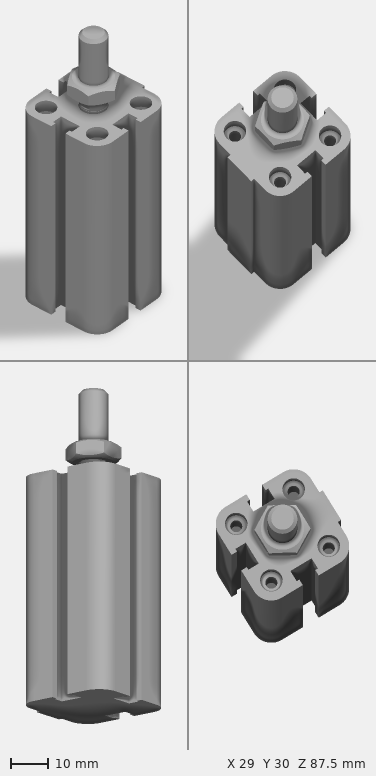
import cadquery as cq
import math


total_height = 87.5
housing_width = 29.0
housing_height = 63.1
corner_radius = 5.4

total_depth = 30.0
rib_height = total_depth - housing_width
rib_width = 9.45

slot_opening = 5.0
slot_inner_width = 6.65
slot_depth = 5.0
slot_lip = 1.75

hole_spacing = 18.0
hole_diameter = 3.2
hole_depth = 12.6
counterbore_diameter = 6.0
counterbore_depth = 3.5

rod_diameter = 8.0
rod_tip_diameter = 6.0
neck_diameter = 7.8
neck_top = 67.4
relief_diameter = 6.5
collar_height = 0.74
wrench_flat_width = 7.0
wrench_flat_offset = 1.2

nut_flat_width = 13.0
nut_face_diameter = 11.55
nut_chamfer_angle = math.radians(30)
nut_bottom = 67.55
nut_height = 5.1


def make_t_slot():
    """Cutter for a T-slot that is open to the +X side, over the full housing height."""
    outer_face = housing_width / 2
    opening = (
        cq.Workplane("XY")
        .box(slot_depth, slot_opening, housing_height, centered=(False, True, False))
        .translate((outer_face - slot_depth, 0, 0))
    )
    undercut = (
        cq.Workplane("XY")
        .box(slot_depth - slot_lip, slot_inner_width, housing_height, centered=(False, True, False))
        .translate((outer_face - slot_depth, 0, 0))
    )
    return opening.union(undercut)


def make_housing():
    """Rounded square block with a rib, three T-slots and four counterbored holes."""
    block = (
        cq.Workplane("XY")
        .rect(housing_width, housing_width)
        .extrude(housing_height)
        .edges("|Z")
        .fillet(corner_radius)
    )
    rib = (
        cq.Workplane("XY")
        .box(rib_width, total_depth / 2, housing_height, centered=(True, False, False))
        .translate((0, housing_width / 2 + rib_height - total_depth / 2, 0))
    )
    housing = block.union(rib)
    for slot_angle in (0, 180, 270):
        housing = housing.cut(make_t_slot().rotate((0, 0, 0), (0, 0, 1), slot_angle))
    return (
        housing.faces(">Z")
        .workplane(origin=(0, 0, housing_height))
        .rect(hole_spacing, hole_spacing, forConstruction=True)
        .vertices()
        .cboreHole(hole_diameter, counterbore_diameter, counterbore_depth, hole_depth)
    )


def make_rod():
    """Rod with a base collar, a neck with two wrench flats, a thread relief and a chamfered tip."""
    rod_radius = rod_diameter / 2
    neck_radius = neck_diameter / 2
    relief_radius = relief_diameter / 2
    tip_radius = rod_tip_diameter / 2
    collar_top = housing_height + collar_height
    thread_bottom = neck_top + (neck_radius - relief_radius)
    chamfer_bottom = total_height - (rod_radius - tip_radius)
    rod = (
        cq.Workplane("XZ")
        .moveTo(0, housing_height)
        .lineTo(rod_radius, housing_height)
        .lineTo(rod_radius, collar_top)
        .lineTo(neck_radius, collar_top)
        .lineTo(neck_radius, neck_top)
        .lineTo(relief_radius, thread_bottom)
        .lineTo(rod_radius, thread_bottom)
        .lineTo(rod_radius, chamfer_bottom)
        .lineTo(tip_radius, total_height)
        .lineTo(0, total_height)
        .close()
        .revolve(360, (0, 0, 0), (0, 1, 0))
    )
    wrench_flat_bottom = housing_height + wrench_flat_offset
    flat_height = thread_bottom - wrench_flat_bottom
    for side in (-1, 1):
        flat_cutter = (
            cq.Workplane("XY")
            .box(rod_diameter, rod_diameter, flat_height, centered=(True, True, False))
            .translate((0, side * (wrench_flat_width + rod_diameter) / 2, wrench_flat_bottom))
        )
        rod = rod.cut(flat_cutter)
    return rod


def make_nut():
    """Hexagon nut with corners along X, chamfered on both faces, with a bore that fits the rod."""
    hexagon_radius = nut_flat_width / math.sqrt(3)
    face_radius = nut_face_diameter / 2
    chamfer_height = (hexagon_radius - face_radius) * math.tan(nut_chamfer_angle)
    hexagon = (
        cq.Workplane("XY", origin=(0, 0, nut_bottom))
        .polygon(6, 2 * hexagon_radius)
        .extrude(nut_height)
    )
    nut_top = nut_bottom + nut_height
    chamfer_envelope = (
        cq.Workplane("XZ")
        .moveTo(0, nut_bottom)
        .lineTo(face_radius, nut_bottom)
        .lineTo(hexagon_radius, nut_bottom + chamfer_height)
        .lineTo(hexagon_radius, nut_top - chamfer_height)
        .lineTo(face_radius, nut_top)
        .lineTo(0, nut_top)
        .close()
        .revolve(360, (0, 0, 0), (0, 1, 0))
    )
    bore = cq.Workplane("XY", origin=(0, 0, nut_bottom)).circle(rod_diameter / 2).extrude(nut_height)
    return hexagon.intersect(chamfer_envelope).cut(bore)


housing = make_housing()
rod = make_rod()
nut = make_nut()

result = cq.Compound.makeCompound([housing.val(), rod.val(), nut.val()])